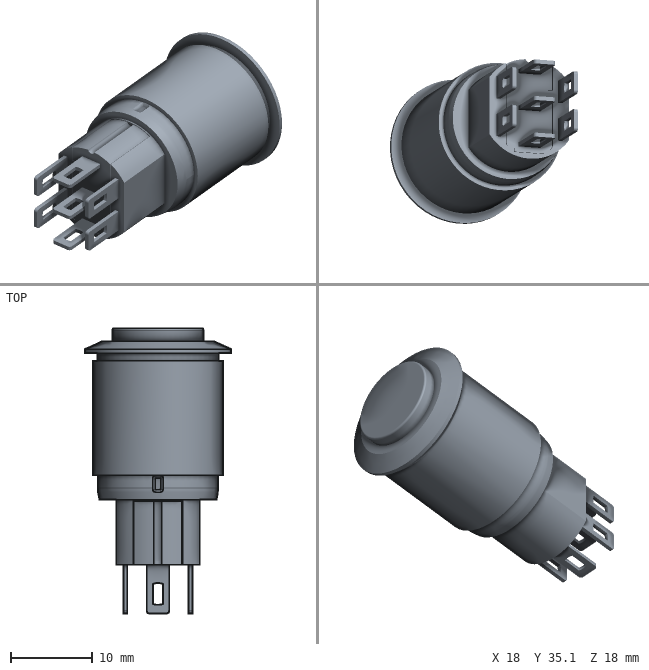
import cadquery as cq


total_length = 35.1
face_y = total_length / 2

button_diameter = 11.2
button_edge_radius = 0.25
flange_diameter = 18.0
flange_face_diameter = 13.6
neck_diameter = 15.0
body_diameter = 16.0
collar_diameter = 14.8
collar_end_diameter = 14.4

flange_at = 1.6
flange_rim_at = 2.6
neck_at = 3.1
body_at = 4.05
collar_at = 18.1
collar_curve_at = 19.6
base_at = 21.1

base_diameter = 12.6
base_flats_width = 10.3
pins_at = 29.1
base_length = pins_at - base_at

insert_floor_thickness = 0.2
insert_at = base_at + insert_floor_thickness
insert_length = pins_at - insert_at
insert_diameter = 12.4
insert_width = 5.9
insert_gap = 0.1
fit_clearance = 0.04
insert_corner_radius = 0.6
insert_bottom_z = -5.1
insert_tab_width = 3.9
insert_tab_bottom_z = -5.55
groove_radius = 0.5

key_tip_x = 2.25
key_height = 1.05
left_key_z = 3.05
right_key_z = 1.95

pin_length = total_length - pins_at
pin_width = 2.8
pin_thickness = 0.5
pin_corner_radius = 0.4
pin_slot_length = 2.65
pin_slot_width = 1.2
pin_slot_to_tip = 1.1
pin_slot_end_bulge = 0.1
contact_pin_pitch = 4.6
lamp_pin_x = 4.0
lamp_pin_z = 2.375

recess_width = 1.36
recess_length = 2.1
recess_depth = 0.35
recess_corner_radius = 0.4
recess_taper = 45


def y_at(distance):
    """Y coordinate at a distance behind the button face."""
    return face_y - distance


def cross_section(distance):
    """Workplane across the axis with local x = X and local y = Z; extrusion runs toward -Y."""
    return cq.Workplane("XZ", origin=(0, y_at(distance), 0))


def make_housing():
    """Revolve the round parts from the button face to the end of the collar."""
    button_r = button_diameter / 2
    collar_r = collar_diameter / 2
    collar_end_r = collar_end_diameter / 2
    profile = (
        cq.Workplane("XY")
        .moveTo(0, y_at(0))
        .lineTo(button_r - button_edge_radius, y_at(0))
        .tangentArcPoint((button_r, y_at(button_edge_radius)), relative=False)
        .lineTo(button_r, y_at(flange_at))
        .lineTo(flange_face_diameter / 2, y_at(flange_at))
        .lineTo(flange_diameter / 2, y_at(flange_rim_at))
        .lineTo(flange_diameter / 2, y_at(neck_at))
        .lineTo(neck_diameter / 2, y_at(neck_at))
        .lineTo(neck_diameter / 2, y_at(body_at))
        .lineTo(body_diameter / 2, y_at(body_at))
        .lineTo(body_diameter / 2, y_at(collar_at))
        .lineTo(collar_r, y_at(collar_at))
        .lineTo(collar_r, y_at(collar_curve_at))
        .tangentArcPoint((collar_end_r, y_at(base_at)), relative=False)
        .lineTo(0, y_at(base_at))
        .close()
    )
    return profile.revolve(360, (0, 0, 0), (0, 1, 0))


def make_index_recess():
    """Tapered pocket that starts at the front of the collar."""
    middle_y = y_at(collar_at) - recess_length / 2
    return (
        cq.Workplane("XY", origin=(0, middle_y, collar_diameter / 2))
        .sketch()
        .rect(recess_width, recess_length)
        .vertices()
        .fillet(recess_corner_radius)
        .finalize()
        .extrude(-recess_depth, taper=recess_taper)
    )


def make_base():
    """Round block with a flat on each side."""
    block = cross_section(base_at).circle(base_diameter / 2).extrude(base_length)
    flats = cross_section(base_at).rect(base_flats_width, base_diameter).extrude(base_length)
    return block.intersect(flats)


def insert_column(width, bottom_z):
    """Straight column of the insert region, reaching up to the top of the base."""
    top_z = base_diameter / 2
    return (
        cross_section(insert_at)
        .center(0, (top_z + bottom_z) / 2)
        .rect(width, top_z - bottom_z)
        .extrude(insert_length)
    )


def make_key(side, key_z, allowance):
    """Key reaching inward from one side, grown by an allowance on its three free faces."""
    tip = key_tip_x - allowance
    outer = insert_width / 2 + insert_gap
    return (
        cross_section(insert_at)
        .center(side * (tip + outer) / 2, key_z)
        .rect(outer - tip, key_height + 2 * allowance)
        .extrude(insert_length)
    )


def make_insert_pocket():
    """Channel in the base that takes the insert, leaving the two keys standing."""
    width = insert_width + 2 * insert_gap
    pocket = insert_column(width, insert_bottom_z)
    pocket = pocket.edges("|Y and <Z").fillet(insert_corner_radius + insert_gap)
    tab_width = insert_tab_width + 2 * fit_clearance
    pocket = pocket.union(insert_column(tab_width, insert_tab_bottom_z - fit_clearance))
    for side, key_z in ((-1, left_key_z), (1, right_key_z)):
        pocket = pocket.cut(make_key(side, key_z, 0))
    return pocket


def make_insert():
    """Contact insert with notches for the keys and a grooved round top."""
    insert = insert_column(insert_width, insert_bottom_z)
    insert = insert.edges("|Y and <Z").fillet(insert_corner_radius)
    insert = insert.union(insert_column(insert_tab_width, insert_tab_bottom_z))
    round_limit = cross_section(insert_at).circle(insert_diameter / 2).extrude(insert_length)
    insert = insert.intersect(round_limit)
    for side, key_z in ((-1, left_key_z), (1, right_key_z)):
        insert = insert.cut(make_key(side, key_z, fit_clearance))
    groove = (
        cross_section(insert_at)
        .center(0, base_diameter / 2)
        .circle(groove_radius)
        .extrude(insert_length)
    )
    return insert.cut(groove)


def make_pin():
    """Flat slotted pin lying in the XY plane, its root at the origin, pointing toward -Y."""
    blade = (
        cq.Workplane("XY")
        .center(0, -pin_length / 2)
        .box(pin_width, pin_length, pin_thickness)
        .edges("|Z and <Y")
        .fillet(pin_corner_radius)
    )
    half_width = pin_slot_width / 2
    near_tip_y = -pin_length + pin_slot_to_tip
    near_root_y = near_tip_y + pin_slot_length
    slot = (
        cq.Workplane("XY")
        .moveTo(-half_width, near_tip_y + pin_slot_end_bulge)
        .threePointArc((0, near_tip_y), (half_width, near_tip_y + pin_slot_end_bulge))
        .lineTo(half_width, near_root_y - pin_slot_end_bulge)
        .threePointArc((0, near_root_y), (-half_width, near_root_y - pin_slot_end_bulge))
        .close()
        .extrude(pin_thickness, both=True)
    )
    return blade.cut(slot)


def place_pins(part):
    """Add three contact pins on the centre line and two lamp pins on each side."""
    flat_pin = make_pin()
    upright_pin = flat_pin.rotate((0, 0, 0), (0, 1, 0), 90)
    root_y = y_at(pins_at)
    for step in (-1, 0, 1):
        part = part.union(flat_pin.translate((0, root_y, step * contact_pin_pitch)))
    for x in (-lamp_pin_x, lamp_pin_x):
        for z in (-lamp_pin_z, lamp_pin_z):
            part = part.union(upright_pin.translate((x, root_y, z)))
    return part


housing = make_housing().cut(make_index_recess())
base = make_base().cut(make_insert_pocket())
result = place_pins(housing.union(base).union(make_insert()))